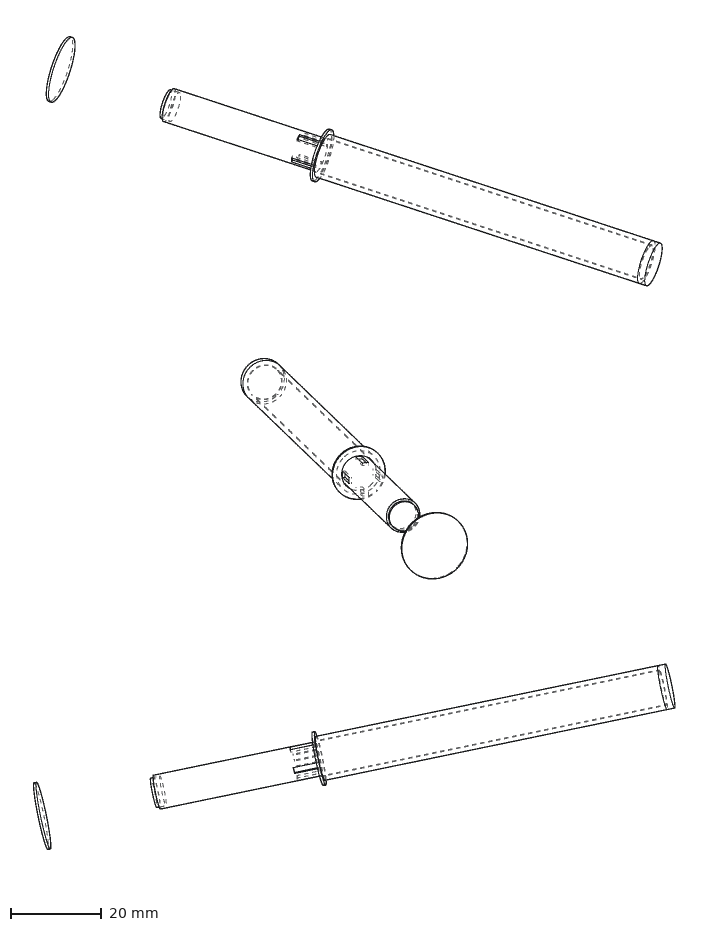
import cadquery as cq

total_length = 141.9

disc_diameter = 15.0
disc_thickness = 0.5

rod_diameter = 7.7
rod_start = 26.1

tip_diameter = 6.7
tip_projection = 0.7
tip_seat_depth = 1.4

slot_count = 4
slot_start = 57.0
slot_width = 1.4
slot_floor_diameter = 6.4

sleeve_diameter = 10.0
bore_diameter = 8.0
sleeve_start = 62.5
flange_diameter = 12.0
flange_thickness = 0.5

cap_length = 1.7
cap_start = total_length - cap_length


def cylinder(start, end, diameter):
    """Solid cylinder on the X axis between two X positions."""
    return cq.Workplane("YZ", origin=(start, 0, 0)).circle(diameter / 2).extrude(end - start)


def make_disc():
    """Thin loose disc standing in front of the rod."""
    return cylinder(0, disc_thickness, disc_diameter)


def make_tip():
    """Plug seated in the front of the rod, with its outer end left proud."""
    return cylinder(rod_start - tip_projection, rod_start + tip_seat_depth, tip_diameter)


def slot_cutter():
    """Radial block on the +Z side that cuts one shallow slot, ending at the flange."""
    floor_radius = slot_floor_diameter / 2
    slot_length = sleeve_start - slot_start
    return (
        cq.Workplane("XY", origin=(slot_start, 0, floor_radius))
        .rect(slot_length, slot_width)
        .extrude(rod_diameter / 2)
        .translate((slot_length / 2, 0, 0))
    )


def make_rod():
    """Rod reaching back to the cap, with a seat for the tip and slots around it."""
    rod = cylinder(rod_start, cap_start, rod_diameter).cut(make_tip())
    for index in range(slot_count):
        angle = index * 360 / slot_count
        rod = rod.cut(slot_cutter().rotate((0, 0, 0), (1, 0, 0), angle))
    return rod


def make_sleeve():
    """Flanged sleeve that surrounds the rod with a small clearance."""
    barrel = cylinder(sleeve_start, cap_start, sleeve_diameter)
    flange = cylinder(sleeve_start, sleeve_start + flange_thickness, flange_diameter)
    bore = cylinder(sleeve_start, cap_start, bore_diameter)
    return barrel.union(flange).cut(bore)


def make_cap():
    """Plain end cap, flush with the outside of the sleeve."""
    return cylinder(cap_start, total_length, sleeve_diameter)


disc = make_disc()
tip = make_tip()
rod = make_rod()
sleeve = make_sleeve()
cap = make_cap()

result = cq.Compound.makeCompound([disc.val(), tip.val(), rod.val(), sleeve.val(), cap.val()])